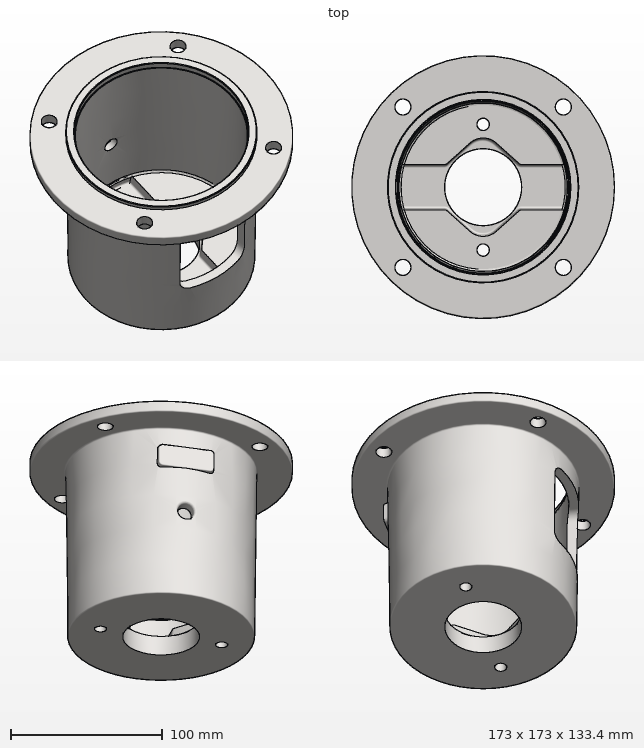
import cadquery as cq
import math

FLANGE_RADIUS = 86.5
FLANGE_BOTTOM = 122.1
FLANGE_TOP = 130.0
TOP = 133.4
SPIGOT_RADIUS = 63.0
RIM_ROUND = 0.9
SPIGOT_CHAMFER = 0.5
FLANGE_HOLE_RADIUS = 5.2
FLANGE_HOLE_SPACING = 105.5

BARREL_TOP_RADIUS = 63.0
BARREL_BOTTOM_RADIUS = 61.5
BARREL_DRAFT = (BARREL_TOP_RADIUS - BARREL_BOTTOM_RADIUS) / FLANGE_BOTTOM
BARREL_ROUND = 0.9
NECK_ROUND = 1.0

LIP_RADIUS = 57.3
LIP_DEPTH = 4.5
LIP_CHAMFER = 0.5
BORE_TOP_RADIUS = 56.5
FLOOR_Z = 20.8
POCKET_Z = 13.8
FLOOR_ROUND = 1.4

CHANNEL_HALF_WIDTH = 14.9
DIAMOND_HALF_LENGTH = 24.4
DIAMOND_SLOPE = 42.0
DIAMOND_TIP_ROUND = 13.0
DIAMOND_FOOT_ROUND = 2.6
POCKET_DRAFT = 9.0

SHAFT_HOLE_RADIUS = 25.3
BOLT_HOLE_RADIUS = 4.0
BOLT_HOLE_SPACING = 82.7

WINDOW_WIDTH = 53.0
WINDOW_FLARE = 7.0
WINDOW_BOTTOM = 42.0
WINDOW_TOP = 106.7
WINDOW_CORNER = 7.0

SIDE_HOLE_Z = 62.1
SIDE_HOLE_OUTER_RADIUS = 5.7
SIDE_HOLE_INNER_RADIUS = 5.0
SIDE_HOLE_ROUND = 1.5
SIDE_SURFACE_X = BARREL_BOTTOM_RADIUS + BARREL_DRAFT * SIDE_HOLE_Z

PLATE_FACE_X = -63.0
PLATE_WIDTH = 37.4
PLATE_HEIGHT = 15.5
PLATE_Z = 101.4
PLATE_CORNER = 2.6
PLATE_DEPTH = 4.2
PLATE_DRAFT = 10.0
PLATE_ROUND = 0.7


def bore_radius(z):
    """Radius of the drafted bore at height z."""
    return BORE_TOP_RADIUS - BARREL_DRAFT * (TOP - LIP_DEPTH - z)


def make_barrel():
    profile = [
        (0, 0),
        (BARREL_BOTTOM_RADIUS, 0),
        (BARREL_TOP_RADIUS, FLANGE_BOTTOM),
        (0, FLANGE_BOTTOM),
    ]
    barrel = cq.Workplane("XZ").polyline(profile).close().revolve()
    return barrel.faces("<Z").edges().fillet(BARREL_ROUND)


def make_flange():
    flange = cq.Workplane("XY", origin=(0, 0, FLANGE_BOTTOM)).circle(FLANGE_RADIUS)
    flange = flange.extrude(FLANGE_TOP - FLANGE_BOTTOM).edges().fillet(RIM_ROUND)
    spigot = cq.Workplane("XY", origin=(0, 0, FLANGE_BOTTOM)).circle(SPIGOT_RADIUS)
    spigot = spigot.extrude(TOP - FLANGE_BOTTOM).faces(">Z").edges().chamfer(SPIGOT_CHAMFER)
    return flange.union(spigot)


def make_plate():
    outline = cq.Sketch().rect(PLATE_WIDTH, PLATE_HEIGHT).vertices().fillet(PLATE_CORNER)
    plate = cq.Workplane("YZ", origin=(PLATE_FACE_X, 0, PLATE_Z)).placeSketch(outline)
    plate = plate.extrude(PLATE_DEPTH, taper=-PLATE_DRAFT)
    return plate.faces("<X").edges().fillet(PLATE_ROUND)


def revolved_cavity(floor_z):
    """Drafted bore from floor_z to the lip."""
    step_z = TOP - LIP_DEPTH
    profile = [
        (0, floor_z),
        (bore_radius(floor_z), floor_z),
        (BORE_TOP_RADIUS, step_z),
        (0, step_z),
    ]
    return cq.Workplane("XZ").polyline(profile).close().revolve()


def make_lip():
    """Recess at the mouth of the bore, flared by a small chamfer."""
    step_z = TOP - LIP_DEPTH
    profile = [
        (0, step_z),
        (LIP_RADIUS, step_z),
        (LIP_RADIUS, TOP - LIP_CHAMFER),
        (LIP_RADIUS + LIP_CHAMFER, TOP),
        (0, TOP),
    ]
    return cq.Workplane("XZ").polyline(profile).close().revolve()


def make_pocket():
    """Channel and diamond below the main floor, reaching out to the bore wall."""
    rise = math.tan(math.radians(DIAMOND_SLOPE))
    tip_y = CHANNEL_HALF_WIDTH + DIAMOND_HALF_LENGTH * rise
    end_x = FLANGE_RADIUS
    upper = [
        (end_x, CHANNEL_HALF_WIDTH),
        (DIAMOND_HALF_LENGTH, CHANNEL_HALF_WIDTH),
        (0, tip_y),
        (-DIAMOND_HALF_LENGTH, CHANNEL_HALF_WIDTH),
        (-end_x, CHANNEL_HALF_WIDTH),
    ]
    lower = [(-x, -y) for x, y in upper]
    foot_box = ((-end_x / 2, -tip_y / 2, -1.7), (end_x / 2, tip_y / 2, 1.7))
    outline = cq.Sketch().polygon(upper + lower + upper[:1])
    outline = outline.vertices(">Y or <Y").fillet(DIAMOND_TIP_ROUND).reset()
    outline = outline.vertices(cq.selectors.BoxSelector(*foot_box)).fillet(DIAMOND_FOOT_ROUND)
    prism = cq.Workplane("XY", origin=(0, 0, FLOOR_Z)).placeSketch(outline)
    prism = prism.extrude(POCKET_Z - FLOOR_Z, taper=POCKET_DRAFT)
    pocket = revolved_cavity(POCKET_Z).intersect(prism)
    return pocket.faces("<Z").edges().fillet(FLOOR_ROUND)


def make_cavity():
    bore = revolved_cavity(FLOOR_Z).faces("<Z").edges().fillet(FLOOR_ROUND)
    return bore.union(make_pocket()).union(make_lip())


def vertical_holes(points, radius):
    return cq.Workplane("XY").pushPoints(points).circle(radius).extrude(TOP)


def make_window():
    """Round-cornered opening whose two upright sides flare outward."""
    half_width = WINDOW_WIDTH / 2
    edge_x = math.sqrt(BARREL_TOP_RADIUS**2 - half_width**2)
    flare = math.tan(math.radians(WINDOW_FLARE))
    near_x = BARREL_BOTTOM_RADIUS / 2
    far_x = FLANGE_RADIUS
    near_half = half_width - (edge_x - near_x) * flare
    far_half = half_width + (far_x - edge_x) * flare
    return (
        cq.Workplane("XY", origin=(0, 0, WINDOW_BOTTOM))
        .polyline([(near_x, -near_half), (far_x, -far_half), (far_x, far_half), (near_x, near_half)])
        .close()
        .extrude(WINDOW_TOP - WINDOW_BOTTOM)
        .edges("not (|Z or |Y)")
        .fillet(WINDOW_CORNER)
    )


def make_side_hole():
    """Hole along X that narrows from the barrel surface to the bore."""
    wall = SIDE_SURFACE_X - bore_radius(SIDE_HOLE_Z)
    narrowing = (SIDE_HOLE_OUTER_RADIUS - SIDE_HOLE_INNER_RADIUS) / wall
    hole = cq.Solid.makeCone(
        SIDE_HOLE_OUTER_RADIUS + narrowing * wall,
        SIDE_HOLE_INNER_RADIUS - narrowing * wall,
        3 * wall,
        pnt=cq.Vector(-SIDE_SURFACE_X - wall, 0, SIDE_HOLE_Z),
        dir=cq.Vector(1, 0, 0),
    )
    return cq.Workplane(hole)


half_flange = FLANGE_HOLE_SPACING / 2
flange_points = [(sx * half_flange, sy * half_flange) for sx in (-1, 1) for sy in (-1, 1)]
bolt_points = [(0, sy * BOLT_HOLE_SPACING / 2) for sy in (-1, 1)]

neck_reach = BARREL_TOP_RADIUS + NECK_ROUND
neck_edge = cq.selectors.BoxSelector(
    (-neck_reach, -neck_reach, FLANGE_BOTTOM - NECK_ROUND),
    (neck_reach, neck_reach, FLANGE_BOTTOM + NECK_ROUND),
    boundingbox=True,
)

body = make_barrel().union(make_flange())
body = body.edges(neck_edge).fillet(NECK_ROUND)
body = body.union(make_plate())
body = body.cut(make_cavity())
body = body.cut(make_window())
body = body.cut(make_side_hole())
side_hole_mouth = cq.selectors.NearestToPointSelector((-SIDE_SURFACE_X, 0, SIDE_HOLE_Z))
body = body.edges(side_hole_mouth).fillet(SIDE_HOLE_ROUND)
body = body.cut(vertical_holes(flange_points, FLANGE_HOLE_RADIUS))
body = body.cut(vertical_holes(bolt_points, BOLT_HOLE_RADIUS))
result = body.cut(vertical_holes([(0, 0)], SHAFT_HOLE_RADIUS))